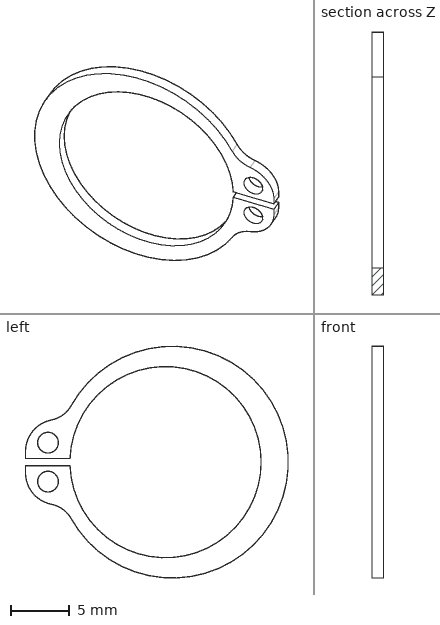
import cadquery as cq
import math

overall_length = 22.3
thickness = 1.0
rim_radius = 9.83
bore_radius = 8.1
bore_offset = 0.58
gap_width = 0.6
lug_radius = 2.75
lug_center_z = 0.9
fillet_radius = 2.45
hole_diameter = 1.74
hole_y = 10.55
hole_z = 1.65

lug_end_y = overall_length - rim_radius
lug_center = (lug_end_y - lug_radius, lug_center_z)


def point_toward(start, end, distance):
    """Point at a distance from start along the line to end."""
    span = math.dist(start, end)
    return tuple(a + (b - a) * distance / span for a, b in zip(start, end))


def blend_center():
    """Center of the fillet circle touching the rim and the lug from outside."""
    rim_reach = rim_radius + fillet_radius
    lug_reach = lug_radius + fillet_radius
    span = math.hypot(*lug_center)
    along = (rim_reach**2 - lug_reach**2 + span**2) / (2 * span)
    across = math.sqrt(rim_reach**2 - along**2)
    axis_y, axis_z = (value / span for value in lug_center)
    return (along * axis_y - across * axis_z, along * axis_z + across * axis_y)


def upper_half():
    """Half of the solid outline, above the mirror plane Z = 0."""
    fillet_center = blend_center()
    rim_tangent = point_toward((0, 0), fillet_center, rim_radius)
    lug_tangent = point_toward(lug_center, fillet_center, lug_radius)
    fillet_middle = point_toward(
        fillet_center,
        tuple((a + b) / 2 for a, b in zip(rim_tangent, lug_tangent)),
        fillet_radius,
    )
    lug_tip = (lug_end_y, lug_center_z)
    lug_middle = point_toward(
        lug_center,
        tuple((a + b) / 2 for a, b in zip(lug_tangent, lug_tip)),
        lug_radius,
    )
    return (
        cq.Workplane("YZ")
        .moveTo(-rim_radius, 0)
        .threePointArc((0, rim_radius), rim_tangent)
        .threePointArc(fillet_middle, lug_tangent)
        .threePointArc(lug_middle, lug_tip)
        .lineTo(lug_end_y, 0)
        .close()
        .extrude(thickness)
    )


half = upper_half()
body = half.union(half.mirror("XY"))

bore = cq.Workplane("YZ").center(bore_offset, 0).circle(bore_radius).extrude(thickness)
gap = cq.Workplane("YZ").rect(overall_length, gap_width).extrude(thickness)
gap = gap.translate((0, bore_offset + overall_length / 2, 0))
plier_holes = (
    cq.Workplane("YZ")
    .pushPoints([(hole_y, -hole_z), (hole_y, hole_z)])
    .circle(hole_diameter / 2)
    .extrude(thickness)
)

result = body.cut(bore).cut(gap).cut(plier_holes)